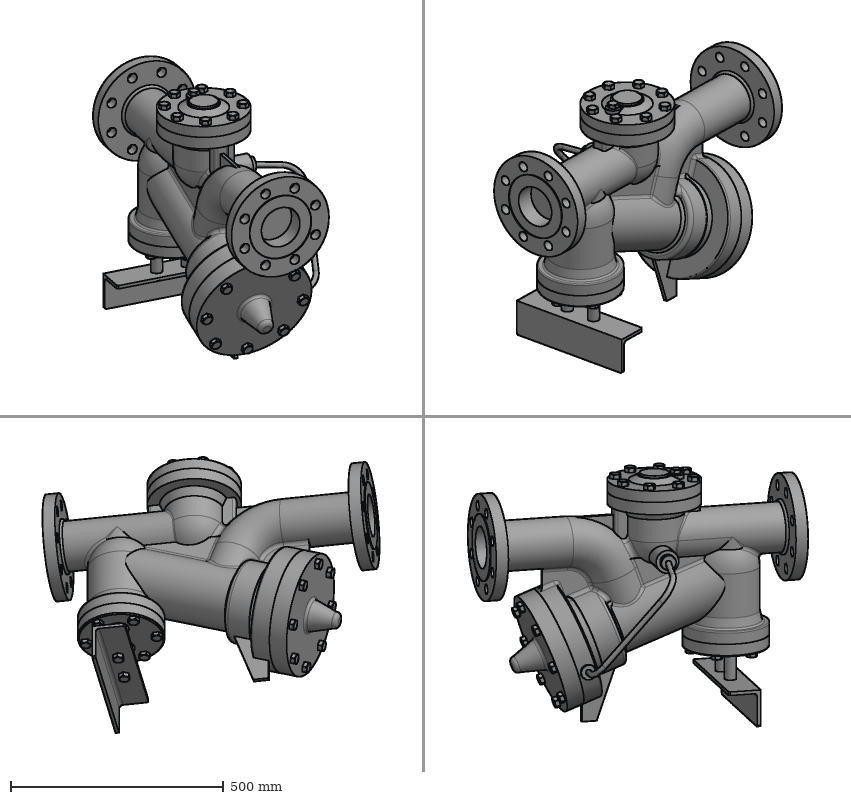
import cadquery as cq
import math


RUN_LENGTH = 766.0
PIPE_DIA = 120.0
BORE_DIA = 100.0
BORE_DEPTH = 46.0
END_FLANGE_DIA = 254.0
END_FLANGE_THICK = 30.0
RAISED_FACE_DIA = 160.0
RAISED_FACE_HEIGHT = 2.0
END_BOLT_CIRCLE = 199.0
END_HOLE_DIA = 24.0
END_FILLET = 6.0
FLANGE_BOLTS = 8

TRAP_X = -214.5
TRAP_DIA = 160.0
TRAP_DOME_Z = -84.0
TRAP_FLARE_TOP_Z = -191.5
TRAP_FLARE_RADIAL = 5.0
TRAP_FLANGE_TOP_Z = -219.0
TRAP_SPLIT_Z = -250.0
TRAP_FLANGE_DIA = 205.0
TRAP_EDGE_ROUND = 3.0
TRAP_NECK_ROUND = 4.5

TRAP_COVER_BOTTOM_Z = -280.0
TRAP_COVER_CHAMFER = 3.0
TRAP_BOLTS = 6
TRAP_BOLT_CIRCLE = 170.0
TRAP_HEAD_HEIGHT = 10.0
POST_DIA = 28.0
POST_SPACING = 80.0
POST_BOSS_DIA = 50.5
POST_BOSS_TIP_DIA = 36.0
POST_BOSS_HEIGHT = 10.0
ANGLE_TOP_Z = -350.0
ANGLE_BACK_X = -256.0
ANGLE_FLANGE_WIDTH = 78.0
ANGLE_LEG_HEIGHT = 90.0
ANGLE_THICK = 8.5
ANGLE_LENGTH = 319.5
ANGLE_INNER_ROUND = 9.0
ANGLE_CORNER_CHAMFER = 4.0

VALVE_X = -40.0
VALVE_DIA = 145.0
VALVE_BOWL_Z = 2.0
VALVE_CONE_START_Z = 57.5
VALVE_CONE_TOP_DIA = 164.0
VALVE_FLANGE_BOTTOM_Z = 80.0
VALVE_SPLIT_Z = 109.5
VALVE_COVER_TOP_Z = 137.0
VALVE_FLANGE_DIA = 222.0
VALVE_BAR_LEFT = 109.0
VALVE_BAR_RIGHT = 101.0
VALVE_BAR_WIDTH = 36.0
VALVE_BAR_BOTTOM_Z = -25.0
VALVE_BAR_ROUND = 7.0

VALVE_BOLT_CIRCLE = 185.0
VALVE_HEAD_HEIGHT = 11.5
CROWN_BASE_DIA = 121.0
CROWN_TOP_DIA = 70.0
CROWN_HEIGHT = 17.0
CROWN_CONE_TOP_DIA = 78.0
CROWN_CONE_HEIGHT = 11.5
PLUG_OFFSET = 53.0
PLUG_PAD_DIA = 36.0
PLUG_PAD_HEIGHT = 10.0
PLUG_COLLAR_DIA = 18.0
PLUG_HEAD_BOTTOM_Z = 149.0
PLUG_TOP_Z = 159.0

STRAINER_TILT = 20.0
STRAINER_ORIGIN_Z = -104.0
BARREL_DIA = 153.0
SHOULDER_START = 302.0
SHOULDER_DIA = 201.0
SHOULDER_INNER_ROUND = 7.0
SHOULDER_OUTER_ROUND = 10.0
NECK_START = 366.0
NECK_DIA = 196.0
STRAINER_FLANGE_BACK = 389.0
STRAINER_SPLIT = 437.5
STRAINER_FACE = 481.0
STRAINER_FLANGE_DIA = 296.0
STRAINER_EDGE_ROUND = 4.0

STRAINER_BOLT_CIRCLE = 251.0
STRAINER_HEAD_HEIGHT = 11.5
NOZZLE_BASE_DIA = 76.5
NOZZLE_TIP_DIA = 41.0
NOZZLE_CONE_LENGTH = 62.0
NOZZLE_LENGTH = 74.0
NOZZLE_TIP_ROUND = 11.5
NOZZLE_BASE_ROUND = 7.0

ELBOW_START_X = 174.0
ELBOW_RADIUS = PIPE_DIA
ELBOW_ANGLE = 90.0 - STRAINER_TILT

WEB_THICK = 9.0
INNER_WEB_THICK = 76.5
INNER_WEB_LEFT_X = -153.0
INNER_WEB_TOP_Z = -42.0
WEB_ROOT_DEPTH = 31.0
WEB_RIGHT_X = 235.0
RIB_TOP_Z = 58.0
WEB_RIGHT_END_Z = -119.0
FOOT_BOTTOM_Z = ANGLE_TOP_Z - ANGLE_LEG_HEIGHT
FOOT_LEFT_X = 102.0
FOOT_RIGHT_X = 138.0
FOOT_SLOPE_TOP = (50.0, -291.0)

CAST_ROUND = 10.0
VALVE_ELBOW_ROUND = 11.5
VALVE_INLET_ROUND = 6.0
TRAP_INLET_ROUND = 9.0

TUBE_DIA = 14.0
TUBE_CORNER_A = (-24.0, 252.0, -55.0)
TUBE_CORNER_B = (162.0, 201.5, -281.0)
TUBE_BEND_A = 55.0
TUBE_BEND_B = 43.0
TUBE_INSERTION = 8.0
FITTING_DIA = 36.0
VALVE_FITTING_Z = -34.5
VALVE_FITTING_BASE_DIA = 55.0
VALVE_FITTING_BASE_Y = 116.5
VALVE_FITTING_END_Y = 129.0
FLANGE_FITTING_END_Y = 151.0

BOLT_FLATS = 24.0
BOLT_CROWN_DIA = 23.0

STRAINER_ORIGIN = cq.Vector(TRAP_X, 0, STRAINER_ORIGIN_Z)
STRAINER_AXIS = cq.Vector(
    math.cos(math.radians(STRAINER_TILT)), 0, -math.sin(math.radians(STRAINER_TILT))
)
DROP_DIRECTION = cq.Vector(STRAINER_AXIS.z, 0, -STRAINER_AXIS.x)
SEAM_TOLERANCE = 0.01


def strainer_plane(station):
    """Plane across the strainer axis, facing away from the trap chamber."""
    origin = STRAINER_ORIGIN + STRAINER_AXIS * station
    return cq.Plane(origin=origin, xDir=DROP_DIRECTION, normal=STRAINER_AXIS)


def upright_plane(x, z):
    return cq.Plane(origin=(x, 0, z), xDir=(1, 0, 0), normal=(0, 0, 1))


def hanging_plane(x, z):
    return cq.Plane(origin=(x, 0, z), xDir=(1, 0, 0), normal=(0, 0, -1))


def disc(plane, diameter, height):
    return cq.Workplane(plane).circle(diameter / 2).extrude(height)


def hex_head(plane, height):
    """Hexagon head whose free end is turned down to a circle."""
    corners = BOLT_FLATS / math.cos(math.pi / 6)
    free_end = cq.selectors.DirectionMinMaxSelector(plane.zDir)
    turned = disc(plane, corners, height).faces(free_end).chamfer((corners - BOLT_CROWN_DIA) / 2)
    return cq.Workplane(plane).polygon(6, corners).extrude(height).intersect(turned)


def bolt_heads(body, plane, circle, count, first_angle, height):
    """Add a ring of bolt heads standing on the plane to the body."""
    for index in range(count):
        angle = math.radians(first_angle + index * 360 / count)
        seat = cq.Plane(
            origin=plane.toWorldCoords((circle / 2 * math.cos(angle), circle / 2 * math.sin(angle), 0)),
            xDir=plane.xDir,
            normal=plane.zDir,
        )
        body = body.union(hex_head(seat, height))
    return body


def blend(body, addition, radius, chosen):
    """Join the addition to the body and round those edges of the seam that `chosen` accepts."""
    joined = body.union(addition)
    skins = [cq.Compound.makeCompound(part.faces().vals()) for part in (body, addition)]

    def on_seam(edge):
        points = [cq.Vertex.makeVertex(*edge.positionAt(at).toTuple()) for at in (0.2, 0.5)]
        return all(skin.distance(point) < SEAM_TOLERANCE for skin in skins for point in points)

    seam = [edge for edge in joined.edges().vals() if on_seam(edge) and chosen(edge.Center())]
    return joined.newObject(seam).fillet(radius)


def end_flange(side):
    """Pipe flange, facing -X (side = -1) or +X (side = +1)."""
    face = RUN_LENGTH / 2
    disc_face = face - RAISED_FACE_HEIGHT
    back = disc_face - END_FLANGE_THICK
    pipe_r = PIPE_DIA / 2
    profile = (
        cq.Workplane("XY")
        .moveTo(back - END_FILLET, 0)
        .lineTo(back - END_FILLET, pipe_r)
        .radiusArc((back, pipe_r + END_FILLET), END_FILLET)
        .lineTo(back, END_FLANGE_DIA / 2)
        .lineTo(disc_face, END_FLANGE_DIA / 2)
        .lineTo(disc_face, RAISED_FACE_DIA / 2)
        .lineTo(face, RAISED_FACE_DIA / 2)
        .lineTo(face, 0)
        .close()
    )
    flange = profile.revolve(360, (0, 0, 0), (1, 0, 0))
    holes = (
        cq.Workplane("YZ", origin=(back - END_FILLET, 0, 0))
        .polarArray(END_BOLT_CIRCLE / 2, 180 / FLANGE_BOLTS, 360, FLANGE_BOLTS)
        .circle(END_HOLE_DIA / 2)
        .extrude(END_FLANGE_THICK + 2 * END_FILLET)
    )
    flange = flange.cut(holes)
    return flange if side > 0 else flange.mirror("YZ")


def inlet_pipe():
    start = -RUN_LENGTH / 2 + END_FLANGE_THICK
    return cq.Workplane("YZ", origin=(start, 0, 0)).circle(PIPE_DIA / 2).extrude(VALVE_X - start)


def elbow_end_centre():
    """Point on the pipe centre line where the elbow ends and the straight drop begins."""
    turn = math.radians(ELBOW_ANGLE)
    return cq.Vector(
        ELBOW_START_X - ELBOW_RADIUS * math.sin(turn), 0, -ELBOW_RADIUS * (1 - math.cos(turn))
    )


def drop_length():
    """Distance from the end of the elbow to the strainer axis, which the drop meets squarely."""
    return (STRAINER_ORIGIN - elbow_end_centre()).dot(DROP_DIRECTION)


def outlet_pipe():
    """Straight outlet, the elbow below it and the drop to the strainer axis."""
    straight_length = RUN_LENGTH / 2 - END_FLANGE_THICK - ELBOW_START_X
    start = cq.Workplane("YZ", origin=(ELBOW_START_X, 0, 0))
    straight = start.circle(PIPE_DIA / 2).extrude(straight_length)
    elbow = start.circle(PIPE_DIA / 2).revolve(
        ELBOW_ANGLE, (8, -ELBOW_RADIUS, 0), (-8, -ELBOW_RADIUS, 0)
    )
    drop_plane = cq.Plane(origin=elbow_end_centre(), xDir=(0, 1, 0), normal=DROP_DIRECTION)
    return straight.union(elbow).union(disc(drop_plane, PIPE_DIA, drop_length()))


def trap_chamber():
    """Domed cylinder below the inlet pipe, flared into its flange."""
    dome_r = TRAP_DIA / 2
    flange_r = TRAP_FLANGE_DIA / 2
    neck_r = PIPE_DIA / 2
    neck_z = TRAP_DOME_Z + math.sqrt(dome_r**2 - neck_r**2)
    flare_r = dome_r + TRAP_FLARE_RADIAL
    dome_mid = (dome_r * math.cos(math.pi / 8), TRAP_DOME_Z + dome_r * math.sin(math.pi / 8))
    profile = (
        cq.Workplane("XZ", origin=(TRAP_X, 0, 0))
        .moveTo(0, TRAP_SPLIT_Z)
        .lineTo(flange_r, TRAP_SPLIT_Z)
        .lineTo(flange_r, TRAP_FLANGE_TOP_Z - TRAP_EDGE_ROUND)
        .radiusArc((flange_r - TRAP_EDGE_ROUND, TRAP_FLANGE_TOP_Z), -TRAP_EDGE_ROUND)
        .lineTo(flare_r + TRAP_NECK_ROUND, TRAP_FLANGE_TOP_Z)
        .radiusArc((flare_r, TRAP_FLANGE_TOP_Z + TRAP_NECK_ROUND), TRAP_NECK_ROUND)
        .lineTo(dome_r, TRAP_FLARE_TOP_Z)
        .lineTo(dome_r, TRAP_DOME_Z)
        .threePointArc(dome_mid, (neck_r, neck_z))
        .lineTo(0, neck_z)
        .close()
    )
    chamber = profile.revolve(360, (0, 0, 0), (0, 1, 0))
    neck = disc(upright_plane(TRAP_X, TRAP_DOME_Z), PIPE_DIA, -TRAP_DOME_Z)
    return chamber.union(neck)


def valve_chamber():
    """Round-bottomed cup with a conical throat and a flange."""
    cup_r = VALVE_DIA / 2
    flange_r = VALVE_FLANGE_DIA / 2
    bowl_mid = (cup_r * math.sin(math.pi / 4), VALVE_BOWL_Z - cup_r * math.cos(math.pi / 4))
    profile = (
        cq.Workplane("XZ", origin=(VALVE_X, 0, 0))
        .moveTo(0, VALVE_BOWL_Z - cup_r)
        .threePointArc(bowl_mid, (cup_r, VALVE_BOWL_Z))
        .lineTo(cup_r, VALVE_CONE_START_Z)
        .lineTo(VALVE_CONE_TOP_DIA / 2, VALVE_FLANGE_BOTTOM_Z)
        .lineTo(flange_r, VALVE_FLANGE_BOTTOM_Z)
        .lineTo(flange_r, VALVE_SPLIT_Z)
        .lineTo(0, VALVE_SPLIT_Z)
        .close()
    )
    return profile.revolve(360, (0, 0, 0), (0, 1, 0))


def valve_bar():
    """Round-cornered bar under the valve flange, standing on the pipe and the elbow."""
    length = VALVE_BAR_LEFT + VALVE_BAR_RIGHT
    centre_x = VALVE_X + (VALVE_BAR_RIGHT - VALVE_BAR_LEFT) / 2
    height = VALVE_FLANGE_BOTTOM_Z - VALVE_BAR_BOTTOM_Z
    bar = cq.Workplane(upright_plane(centre_x, VALVE_BAR_BOTTOM_Z)).rect(length, VALVE_BAR_WIDTH)
    return bar.extrude(height).edges("|Z").fillet(VALVE_BAR_ROUND)


def strainer_barrel():
    """Tilted barrel with a rounded shoulder, a neck and the cover flange."""
    barrel_r = BARREL_DIA / 2
    shoulder_r = SHOULDER_DIA / 2
    neck_r = NECK_DIA / 2
    flange_r = STRAINER_FLANGE_DIA / 2
    inner = SHOULDER_INNER_ROUND
    outer = SHOULDER_OUTER_ROUND
    plane = cq.Plane(origin=STRAINER_ORIGIN, xDir=STRAINER_AXIS, normal=(0, -1, 0))
    profile = (
        cq.Workplane(plane)
        .lineTo(0, barrel_r)
        .lineTo(SHOULDER_START - inner, barrel_r)
        .radiusArc((SHOULDER_START, barrel_r + inner), inner)
        .lineTo(SHOULDER_START, shoulder_r - outer)
        .radiusArc((SHOULDER_START + outer, shoulder_r), outer)
        .lineTo(NECK_START, shoulder_r)
        .lineTo(NECK_START, neck_r)
        .lineTo(STRAINER_FLANGE_BACK, neck_r)
        .lineTo(STRAINER_FLANGE_BACK, flange_r - STRAINER_EDGE_ROUND)
        .radiusArc((STRAINER_FLANGE_BACK + STRAINER_EDGE_ROUND, flange_r), STRAINER_EDGE_ROUND)
        .lineTo(STRAINER_SPLIT, flange_r)
        .lineTo(STRAINER_SPLIT, 0)
        .close()
    )
    return profile.revolve(360, (0, 0, 0), (1, 0, 0))


def web(outline, thickness=WEB_THICK):
    """Web centred on the plane of symmetry, from its (x, z) corner points."""
    start = cq.Workplane("XZ", origin=(0, thickness / 2, 0))
    return start.polyline(outline).close().extrude(thickness)


def inner_web():
    """Thick web between the inlet pipe, the valve chamber, the outlet and the strainer barrel."""
    elbow_end = elbow_end_centre()
    drop_end = elbow_end + DROP_DIRECTION * (drop_length() - WEB_ROOT_DEPTH)
    return web(
        [
            (INNER_WEB_LEFT_X, INNER_WEB_TOP_Z),
            (elbow_end.x, INNER_WEB_TOP_Z),
            (elbow_end.x, elbow_end.z),
            (drop_end.x, drop_end.z),
            (INNER_WEB_LEFT_X, STRAINER_ORIGIN_Z),
        ],
        INNER_WEB_THICK,
    )


def elbow_rib():
    """Thin rib from the valve chamber to the top of the elbow."""
    return web(
        [
            (VALVE_X, 0),
            (VALVE_X, RIB_TOP_Z),
            (ELBOW_START_X, RIB_TOP_Z),
            (ELBOW_START_X, 0),
        ]
    )


def outer_web():
    """Fills the gap between the elbow, the outlet pipe and the strainer flange."""
    elbow_end = elbow_end_centre()
    drop_end = elbow_end + DROP_DIRECTION * (drop_length() - WEB_ROOT_DEPTH)
    flange_root = strainer_plane((STRAINER_FLANGE_BACK + STRAINER_SPLIT) / 2).origin
    return web(
        [
            (ELBOW_START_X, 0),
            (WEB_RIGHT_X, 0),
            (WEB_RIGHT_X, WEB_RIGHT_END_Z),
            (flange_root.x, flange_root.z),
            (drop_end.x, drop_end.z),
            (elbow_end.x, elbow_end.z),
        ]
    )


def foot():
    """Foot below the strainer, level with the bottom of the mounting angle."""
    flange_root = strainer_plane((STRAINER_FLANGE_BACK + STRAINER_SPLIT) / 2).origin
    return web(
        [
            (flange_root.x, flange_root.z),
            (FOOT_RIGHT_X, flange_root.z - STRAINER_FLANGE_DIA / 2),
            (FOOT_RIGHT_X, FOOT_BOTTOM_Z),
            (FOOT_LEFT_X, FOOT_BOTTOM_Z),
            FOOT_SLOPE_TOP,
        ]
    )


def bar_along_y(x, z, diameter, length):
    """Round bar parallel to Y, starting in the plane of symmetry."""
    plane = cq.Plane(origin=(x, 0, z), xDir=(1, 0, 0), normal=(0, 1, 0))
    return disc(plane, diameter, length)


def tube_fittings():
    base = bar_along_y(VALVE_X, VALVE_FITTING_Z, VALVE_FITTING_BASE_DIA, VALVE_FITTING_BASE_Y)
    collar = bar_along_y(VALVE_X, VALVE_FITTING_Z, FITTING_DIA, VALVE_FITTING_END_Y)
    corner_x, _, corner_z = TUBE_CORNER_B
    socket = bar_along_y(corner_x, corner_z, FITTING_DIA, FLANGE_FITTING_END_Y)
    return base.union(collar).union(socket)


def bend(before, corner, after, radius):
    """Start, middle and end of the arc that rounds a corner of the tube path."""
    towards_start = (before - corner).normalized()
    towards_end = (after - corner).normalized()
    half_angle = towards_start.getAngle(towards_end) / 2
    setback = radius / math.tan(half_angle)
    bisector = (towards_start + towards_end).normalized()
    middle = corner + bisector * (radius / math.sin(half_angle) - radius)
    return corner + towards_start * setback, middle, corner + towards_end * setback


def balance_tube():
    """Twice-bent tube from the valve chamber to the strainer flange."""
    start = cq.Vector(VALVE_X, VALVE_FITTING_END_Y - TUBE_INSERTION, VALVE_FITTING_Z)
    corner_a = cq.Vector(*TUBE_CORNER_A)
    corner_b = cq.Vector(*TUBE_CORNER_B)
    end = cq.Vector(corner_b.x, FLANGE_FITTING_END_Y - TUBE_INSERTION, corner_b.z)
    bend_a = bend(start, corner_a, corner_b, TUBE_BEND_A)
    bend_b = bend(corner_a, corner_b, end, TUBE_BEND_B)
    path = cq.Wire.assembleEdges(
        [
            cq.Edge.makeLine(start, bend_a[0]),
            cq.Edge.makeThreePointArc(*bend_a),
            cq.Edge.makeLine(bend_a[2], bend_b[0]),
            cq.Edge.makeThreePointArc(*bend_b),
            cq.Edge.makeLine(bend_b[2], end),
        ]
    )
    section = cq.Workplane(cq.Plane(origin=start, normal=bend_a[0] - start)).circle(TUBE_DIA / 2)
    return section.sweep(cq.Workplane(path))


def end_bore(side):
    start = side * RUN_LENGTH / 2
    return cq.Workplane("YZ", origin=(start, 0, 0)).circle(BORE_DIA / 2).extrude(-side * BORE_DEPTH)


def build_casting():
    """Pipes, chambers, barrel and webs, with the cast roundings along their seams."""
    outlet = blend(outlet_pipe(), outer_web(), CAST_ROUND, lambda at: abs(at.y) > WEB_THICK / 3)
    run = blend(valve_chamber(), outlet, VALVE_ELBOW_ROUND, lambda at: True)
    run = blend(run, inlet_pipe(), VALVE_INLET_ROUND, lambda at: True)
    run = blend(run, inner_web(), CAST_ROUND, lambda at: at.z < elbow_end_centre().z)
    casting = blend(run, strainer_barrel(), CAST_ROUND, lambda at: at.x > INNER_WEB_LEFT_X + CAST_ROUND)
    return blend(casting, trap_chamber(), TRAP_INLET_ROUND, lambda at: at.x < TRAP_X and at.z > TRAP_DOME_Z)


def build_housing():
    body = build_casting()
    for feature in (elbow_rib(), valve_bar(), foot(), tube_fittings(), balance_tube()):
        body = body.union(feature)
    for side in (-1, 1):
        body = body.union(end_flange(side)).cut(end_bore(side))
    return body


def build_valve_cover():
    plane = upright_plane(VALVE_X, VALVE_COVER_TOP_Z)
    cover = disc(plane, VALVE_FLANGE_DIA, VALVE_SPLIT_Z - VALVE_COVER_TOP_Z)
    crown = cq.Solid.makeCone(
        CROWN_BASE_DIA / 2, CROWN_CONE_TOP_DIA / 2, CROWN_CONE_HEIGHT, plane.origin, plane.zDir
    )
    cover = cover.union(cq.Workplane(crown)).union(disc(plane, CROWN_TOP_DIA, CROWN_HEIGHT))
    plug_x = VALVE_X - PLUG_OFFSET
    pad = disc(upright_plane(plug_x, VALVE_COVER_TOP_Z), PLUG_PAD_DIA, PLUG_PAD_HEIGHT)
    bridge = (
        cq.Workplane(plane)
        .center(-PLUG_OFFSET / 2, 0)
        .rect(PLUG_OFFSET, PLUG_PAD_DIA)
        .extrude(PLUG_PAD_HEIGHT)
    )
    collar_height = PLUG_HEAD_BOTTOM_Z - VALVE_COVER_TOP_Z
    collar = disc(upright_plane(plug_x, VALVE_COVER_TOP_Z), PLUG_COLLAR_DIA, collar_height)
    head = hex_head(upright_plane(plug_x, PLUG_HEAD_BOTTOM_Z), PLUG_TOP_Z - PLUG_HEAD_BOTTOM_Z)
    cover = cover.union(pad).union(bridge).union(collar).union(head)
    return bolt_heads(
        cover, plane, VALVE_BOLT_CIRCLE, FLANGE_BOLTS, 180 / FLANGE_BOLTS, VALVE_HEAD_HEIGHT
    )


def build_strainer_cover():
    plane = strainer_plane(STRAINER_FACE)
    cover = disc(plane, STRAINER_FLANGE_DIA, STRAINER_SPLIT - STRAINER_FACE)
    base_r = NOZZLE_BASE_DIA / 2
    tip_r = NOZZLE_TIP_DIA / 2
    axis_plane = cq.Plane(origin=plane.origin, xDir=STRAINER_AXIS, normal=(0, -1, 0))
    nozzle = (
        cq.Workplane(axis_plane)
        .lineTo(0, base_r + NOZZLE_BASE_ROUND)
        .radiusArc((NOZZLE_BASE_ROUND, base_r), -NOZZLE_BASE_ROUND)
        .lineTo(NOZZLE_CONE_LENGTH, tip_r)
        .radiusArc((NOZZLE_LENGTH, tip_r - NOZZLE_TIP_ROUND), NOZZLE_TIP_ROUND)
        .lineTo(NOZZLE_LENGTH, 0)
        .close()
        .revolve(360, (0, 0, 0), (1, 0, 0))
    )
    cover = cover.union(nozzle)
    return bolt_heads(cover, plane, STRAINER_BOLT_CIRCLE, FLANGE_BOLTS, 0, STRAINER_HEAD_HEIGHT)


def mounting_angle():
    """Angle iron along Y, with a rounded inner corner and clipped outer corners."""
    section = (
        cq.Workplane("XZ", origin=(ANGLE_BACK_X, ANGLE_LENGTH / 2, ANGLE_TOP_Z))
        .polyline(
            [
                (0, 0),
                (ANGLE_FLANGE_WIDTH, 0),
                (ANGLE_FLANGE_WIDTH, -ANGLE_THICK),
                (ANGLE_THICK, -ANGLE_THICK),
                (ANGLE_THICK, -ANGLE_LEG_HEIGHT),
                (0, -ANGLE_LEG_HEIGHT),
            ]
        )
        .close()
    )
    angle = section.extrude(ANGLE_LENGTH)
    inner_corner = (ANGLE_BACK_X + ANGLE_THICK, 0, ANGLE_TOP_Z - ANGLE_THICK)
    angle = angle.edges(cq.selectors.NearestToPointSelector(inner_corner)).fillet(ANGLE_INNER_ROUND)
    angle = angle.faces(">X").edges("|Z").chamfer(ANGLE_CORNER_CHAMFER)
    return angle.faces("<Z").edges("|X").chamfer(ANGLE_CORNER_CHAMFER)


def build_trap_cover():
    bottom = hanging_plane(TRAP_X, TRAP_COVER_BOTTOM_Z)
    thickness = TRAP_SPLIT_Z - TRAP_COVER_BOTTOM_Z
    cover = disc(bottom, TRAP_FLANGE_DIA, -thickness).faces("<Z").chamfer(TRAP_COVER_CHAMFER)
    cover = bolt_heads(cover, bottom, TRAP_BOLT_CIRCLE, TRAP_BOLTS, 0, TRAP_HEAD_HEIGHT)
    for side in (-1, 1):
        post_y = side * POST_SPACING / 2
        foot_point = cq.Vector(TRAP_X, post_y, TRAP_COVER_BOTTOM_Z)
        boss = cq.Solid.makeCone(
            POST_BOSS_DIA / 2, POST_BOSS_TIP_DIA / 2, POST_BOSS_HEIGHT, foot_point, cq.Vector(0, 0, -1)
        )
        post_plane = cq.Plane(origin=foot_point, xDir=(1, 0, 0), normal=(0, 0, -1))
        post = disc(post_plane, POST_DIA, TRAP_COVER_BOTTOM_Z - ANGLE_TOP_Z)
        seat = cq.Plane(
            origin=(TRAP_X, post_y, ANGLE_TOP_Z - ANGLE_THICK), xDir=(0, 1, 0), normal=(0, 0, -1)
        )
        cover = cover.union(cq.Workplane(boss)).union(post)
        cover = cover.union(hex_head(seat, VALVE_HEAD_HEIGHT))
        if side < 0:
            cover = cover.union(mounting_angle())
    return cover


housing = build_housing()
valve_cover = build_valve_cover()
strainer_cover = build_strainer_cover()
trap_cover = build_trap_cover()

bodies = (housing, valve_cover, strainer_cover, trap_cover)
result = cq.Compound.makeCompound([body.solids().val() for body in bodies])